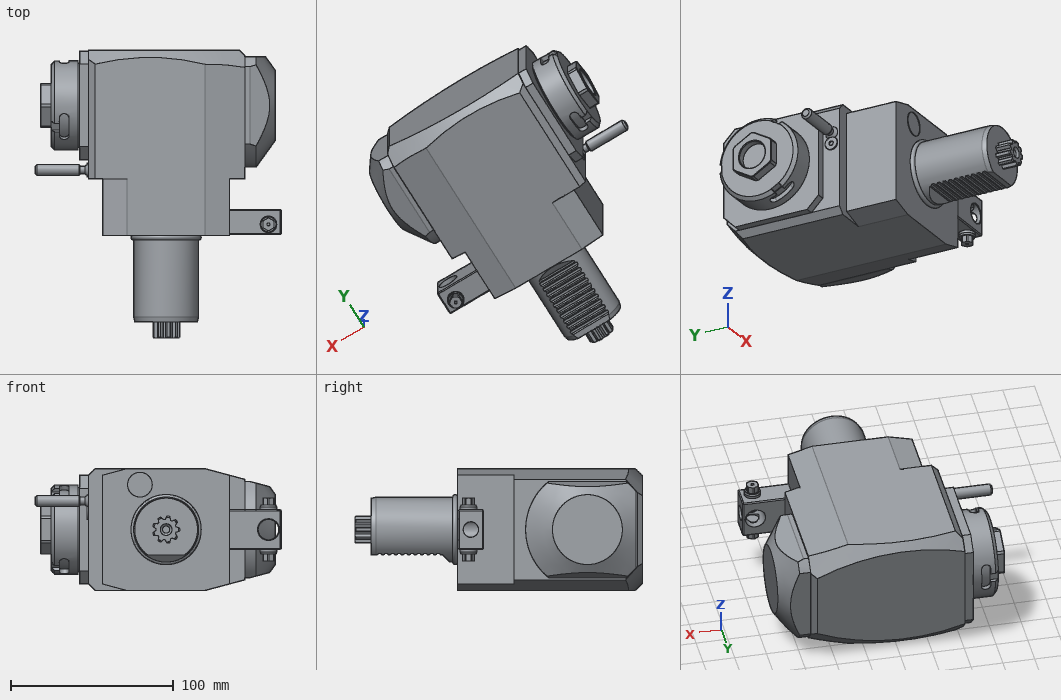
import cadquery as cq
import math


HALF_HEIGHT = 37.5
SLOPE_ANGLE = 15.0
SLOPE_START_X = 23.9
FRONT_HALF_WIDTH = 39.0
STEP_Y = 34.8
BACK_Y = 114.0
LEFT_X = -47.8
RIGHT_X = 48.4
LEFT_BEVEL = 4.2
RIGHT_BACK_BEVEL = 3.3
CROWN_RADIUS = 130.3
CROWN_CENTER_X = -10.0
CROWN_HALF_HEIGHT = 33.0

SPINDLE_Y = 80.0
FLANGE_SIZE = 66.8
FLANGE_CORNER = 8.0
FLANGE_LEFT_X = -53.2
NUT_RADIUS = 27.5
NUT_LEFT_X = -70.7
NUT_BEVEL = 2.2
NECK_RADIUS = 26.0
NECK_LENGTH = 0.9
NUT_POCKET_COUNT = 3
NUT_SLOT_X = -62.65
NUT_SLOT_WIDTH = 5.8
NUT_SLOT_LENGTH = 18.4
NUT_SLOT_FLOOR_RADIUS = 24.5
NUT_NOTCH_WIDTH = 6.0
NUT_NOTCH_FLOOR_RADIUS = 25.0
HEX_LEFT_X = -77.2
HEX_FLAT_WIDTH = 27.0
HEX_ROUND_RADIUS = 15.1
HEX_BEVEL = 0.4
BORE_RADIUS = 9.0
BORE_RIM_BEVEL = 0.5
BORE_DEPTH = 5.0

PIN_Y = 40.3
PIN_Z = 17.6
PIN_RADIUS = 3.5
PIN_LEFT_X = -80.5
PIN_RIGHT_X = -52.8
PIN_BEVEL = 1.2
PIN_RIGHT_BEVEL = 0.8
PIN_NECK_RADIUS = 2.4
PIN_NECK_RIGHT_X = -49.9
FLARE_RADIUS = 4.2
PLUG_Z = 10.4
PLUG_RADIUS = 4.2
PLUG_HEIGHT = 0.9
PLUG_HOLE_RADIUS = 1.5

CAP_RADIUS = 38.0
CAP_RIM_X = 55.3
CAP_RIGHT_X = 67.2
CAP_END_RADIUS = 21.5
CAP_BACK_Y = 110.0
CAP_HALF_HEIGHT = 29.65
CAP_SLOPE_START_X = 51.5

ARM_RIGHT_X = 70.83
ARM_FRONT_Y = 0.6
ARM_BACK_Y = 16.1
ARM_HALF_HEIGHT = 12.25
ARM_BEVEL = 0.7
ARM_HOLE_X = 62.9
ARM_HOLE_RADIUS = 6.3
ARM_HOLE_RIM_BEVEL = 0.4
ARM_WINDOW_RADIUS = 4.7
SCREW_Y = 6.9
SCREW_BORE_RADIUS = 4.2
SCREW_BORE_HALF_LENGTH = 6.7
SCREW_COLLAR_RADIUS = 5.1
SCREW_COLLAR_TOP_RADIUS = 4.6
SCREW_COLLAR_STEP_Z = 13.9
SCREW_COLLAR_TOP_Z = 15.0
SCREW_HEAD_TOP_Z = 19.4
SCREW_HEAD_FLAT_WIDTH = 7.0
SCREW_HEAD_ROUND_RADIUS = 3.8
SCREW_HOLE_RADIUS = 0.9
SCREW_HOLE_DEPTH = 2.0

SHANK_RADIUS = 20.0
SHANK_END_Y = -53.0
SHANK_BEVEL_LENGTH = 3.0
SHANK_BEVEL_DEPTH = 0.7
COLLAR_RADIUS = 21.6
COLLAR_CREST_Y = -1.2
FLAT_Z = -15.6
FLAT_START_Y = -9.0
TOOTH_PITCH = 4.0
GROOVE_COUNT = 10
FIRST_GROOVE_Y = -11.7
GROOVE_DEPTH = 0.8
GROOVE_FLOOR_WIDTH = 1.5
SPLINE_END_Y = -63.0
SPLINE_COUNT = 9
SPLINE_RADIUS = 8.4
SPLINE_ROOT_RADIUS = 6.3
SPLINE_TIP_WIDTH = 1.8
SPLINE_BASE_WIDTH = 3.2
SPLINE_BEVEL = 0.8
CENTER_HOLE_RADIUS = 2.2
CENTER_SINK_RADIUS = 3.6
CENTER_HOLE_DEPTH = 8.0

RECESS_X = -16.1
RECESS_Z = 27.6
RECESS_RADIUS = 7.6
RECESS_DEPTH = 0.5

SLOPE = math.tan(math.radians(SLOPE_ANGLE))
OVERLAP = 1.0


def half_height_at(x):
    """Half the housing height at a distance x from the shank axis, on the sloped stretch."""
    return HALF_HEIGHT - (abs(x) - SLOPE_START_X) * SLOPE


def prism_y(points, y_start, y_end):
    """Prism along Y over an (X, Z) outline."""
    return cq.Workplane("XZ", origin=(0, y_start, 0)).polyline(points).close().extrude(y_start - y_end)


def prism_z(points, half_height):
    """Prism along Z over an (X, Y) outline, symmetric about Z = 0."""
    return cq.Workplane("XY").polyline(points).close().extrude(half_height, both=True)


def mirrored_outline(upper):
    """Closed (X, Z) outline from its upper half, mirrored about Z = 0."""
    return upper + [(x, -z) for x, z in reversed(upper)]


def turned_x(profile, y, z):
    """Solid turned about the X-parallel axis at (y, z) from (X, radius) points."""
    outline = [(profile[0][0], 0)] + profile + [(profile[-1][0], 0)]
    solid = cq.Workplane("XY").polyline(outline).close().revolve(360, (0, 0, 0), (1, 0, 0))
    return solid.translate((0, y, z))


def turned_y(profile, x, z):
    """Solid turned about the Y-parallel axis at (x, z) from (radius, Y) points."""
    outline = [(0, profile[0][1])] + profile + [(0, profile[-1][1])]
    solid = cq.Workplane("XY").polyline(outline).close().revolve(360, (0, 0, 0), (0, 1, 0))
    return solid.translate((x, 0, z))


def turned_z(profile, x, y):
    """Solid turned about the Z-parallel axis at (x, y) from (radius, Z) points."""
    outline = [(0, profile[0][1])] + profile + [(0, profile[-1][1])]
    solid = cq.Workplane("XZ").polyline(outline).close().revolve(360, (0, 0, 0), (0, 1, 0))
    return solid.translate((x, y, 0))


def crown(side):
    """Wide 45-degree cone about a Y-parallel axis that crowns the top (+1) or bottom (-1) back edge."""
    growth = BACK_Y - STEP_Y + OVERLAP
    profile = [(CROWN_RADIUS, BACK_Y), (CROWN_RADIUS + growth, BACK_Y - growth)]
    return turned_y(profile, CROWN_CENTER_X, side * (CROWN_HALF_HEIGHT - CROWN_RADIUS))


def housing():
    rear_outline = mirrored_outline([
        (LEFT_X, HALF_HEIGHT - LEFT_BEVEL),
        (LEFT_X + LEFT_BEVEL, HALF_HEIGHT),
        (SLOPE_START_X, HALF_HEIGHT),
        (RIGHT_X, half_height_at(RIGHT_X)),
    ])
    front_outline = mirrored_outline([
        (-FRONT_HALF_WIDTH, half_height_at(FRONT_HALF_WIDTH)),
        (-SLOPE_START_X, HALF_HEIGHT),
        (SLOPE_START_X, HALF_HEIGHT),
        (FRONT_HALF_WIDTH, half_height_at(FRONT_HALF_WIDTH)),
    ])
    rear = prism_y(rear_outline, STEP_Y, BACK_Y).intersect(crown(1)).intersect(crown(-1))
    corner = prism_z([
        (RIGHT_X - RIGHT_BACK_BEVEL, BACK_Y),
        (RIGHT_X, BACK_Y),
        (RIGHT_X, BACK_Y - RIGHT_BACK_BEVEL),
    ], HALF_HEIGHT)
    recess = turned_y([(RECESS_RADIUS, 0), (RECESS_RADIUS, RECESS_DEPTH)], RECESS_X, RECESS_Z)
    return rear.cut(corner).union(prism_y(front_outline, 0, STEP_Y)).cut(recess)


def flange():
    plate = cq.Workplane("YZ", origin=(FLANGE_LEFT_X, SPINDLE_Y, 0))
    plate = plate.rect(FLANGE_SIZE, FLANGE_SIZE).extrude(LEFT_X - FLANGE_LEFT_X)
    return plate.edges("|X").chamfer(FLANGE_CORNER)


def nut_pocket(angle):
    """Curved wrench slot in the nut rim with a notch leading to it from the end face."""
    radial_plane = cq.Workplane("XY", origin=(NUT_SLOT_X, SPINDLE_Y, 0))
    slot = radial_plane.slot2D(NUT_SLOT_LENGTH, NUT_SLOT_WIDTH, 90).extrude(NUT_RADIUS + OVERLAP)
    core = turned_x([
        (NUT_LEFT_X, NUT_SLOT_FLOOR_RADIUS),
        (FLANGE_LEFT_X, NUT_SLOT_FLOOR_RADIUS),
    ], SPINDLE_Y, 0)
    notch_overlap = NUT_SLOT_WIDTH / 4
    notch = cq.Workplane("XY").box(
        NUT_SLOT_X - notch_overlap - NUT_LEFT_X,
        NUT_NOTCH_WIDTH,
        NUT_RADIUS - NUT_NOTCH_FLOOR_RADIUS,
        centered=(False, True, False),
    ).translate((NUT_LEFT_X, SPINDLE_Y, NUT_NOTCH_FLOOR_RADIUS))
    pocket = slot.cut(core).union(notch)
    return pocket.rotate((0, SPINDLE_Y, 0), (1, SPINDLE_Y, 0), angle)


def hex_prism(plane, origin, flat_width, round_radius, length):
    """Hexagonal prism, one corner along the plane's second axis, corners rounded by a coaxial cylinder."""
    corner_diameter = flat_width / math.cos(math.pi / 6)
    base = cq.Workplane(plane, origin=origin)
    hexagon = base.transformed(rotate=(0, 0, 90)).polygon(6, corner_diameter).extrude(length)
    return hexagon.intersect(base.circle(round_radius).extrude(length))


def nut():
    body = turned_x([
        (NUT_LEFT_X, NUT_RADIUS - NUT_BEVEL),
        (NUT_LEFT_X + NUT_BEVEL, NUT_RADIUS),
        (FLANGE_LEFT_X - NECK_LENGTH, NUT_RADIUS),
        (FLANGE_LEFT_X - NECK_LENGTH, NECK_RADIUS),
        (FLANGE_LEFT_X + OVERLAP, NECK_RADIUS),
    ], SPINDLE_Y, 0)
    for index in range(NUT_POCKET_COUNT):
        body = body.cut(nut_pocket(index * 360 / NUT_POCKET_COUNT - 90))
    hexagon = hex_prism(
        "YZ", (HEX_LEFT_X, SPINDLE_Y, 0), HEX_FLAT_WIDTH, HEX_ROUND_RADIUS,
        NUT_LEFT_X - HEX_LEFT_X + OVERLAP,
    ).faces("<X").chamfer(HEX_BEVEL)
    bore = turned_x([
        (HEX_LEFT_X, BORE_RADIUS + BORE_RIM_BEVEL),
        (HEX_LEFT_X + BORE_RIM_BEVEL, BORE_RADIUS),
        (HEX_LEFT_X + BORE_DEPTH, BORE_RADIUS),
    ], SPINDLE_Y, 0)
    return body.union(hexagon).cut(bore)


def pin():
    stem = turned_x([
        (PIN_LEFT_X, PIN_RADIUS - PIN_BEVEL),
        (PIN_LEFT_X + PIN_BEVEL, PIN_RADIUS),
        (PIN_RIGHT_X - PIN_RIGHT_BEVEL, PIN_RADIUS),
        (PIN_RIGHT_X, PIN_RADIUS - PIN_RIGHT_BEVEL),
        (PIN_RIGHT_X, PIN_NECK_RADIUS),
        (LEFT_X, PIN_NECK_RADIUS),
    ], PIN_Y, PIN_Z)
    flare = turned_x([
        (PIN_NECK_RIGHT_X, PIN_NECK_RADIUS),
        (LEFT_X, FLARE_RADIUS),
        (LEFT_X + OVERLAP, FLARE_RADIUS),
    ], PIN_Y, PIN_Z)
    return stem.union(flare)


def plug():
    disc = turned_x([(LEFT_X - PLUG_HEIGHT, PLUG_RADIUS), (LEFT_X + OVERLAP, PLUG_RADIUS)], PIN_Y, PLUG_Z)
    hole = turned_x([(LEFT_X - PLUG_HEIGHT, PLUG_HOLE_RADIUS), (LEFT_X, PLUG_HOLE_RADIUS)], PIN_Y, PLUG_Z)
    return disc.cut(hole)


def rear_cap():
    body = turned_x([
        (RIGHT_X - OVERLAP, CAP_RADIUS),
        (CAP_RIM_X, CAP_RADIUS),
        (CAP_RIGHT_X, CAP_END_RADIUS),
    ], SPINDLE_Y, 0)
    end_half_height = CAP_HALF_HEIGHT - (CAP_RIGHT_X - CAP_SLOPE_START_X) * SLOPE
    envelope = prism_y(mirrored_outline([
        (RIGHT_X - OVERLAP, CAP_HALF_HEIGHT),
        (CAP_SLOPE_START_X, CAP_HALF_HEIGHT),
        (CAP_RIGHT_X, end_half_height),
    ]), SPINDLE_Y - CAP_RADIUS, CAP_BACK_Y)
    return body.intersect(envelope)


def arm_screw():
    """Upper screw of the arm: round collar, tapered step and hexagonal head with a centre hole."""
    collar = turned_z([
        (SCREW_COLLAR_RADIUS, ARM_HALF_HEIGHT - OVERLAP),
        (SCREW_COLLAR_RADIUS, SCREW_COLLAR_STEP_Z),
        (SCREW_COLLAR_TOP_RADIUS, SCREW_COLLAR_TOP_Z),
    ], ARM_HOLE_X, SCREW_Y)
    head = hex_prism(
        "XY", (ARM_HOLE_X, SCREW_Y, SCREW_COLLAR_TOP_Z), SCREW_HEAD_FLAT_WIDTH,
        SCREW_HEAD_ROUND_RADIUS, SCREW_HEAD_TOP_Z - SCREW_COLLAR_TOP_Z,
    )
    hole = turned_z([
        (SCREW_HOLE_RADIUS, SCREW_HEAD_TOP_Z - SCREW_HOLE_DEPTH),
        (SCREW_HOLE_RADIUS, SCREW_HEAD_TOP_Z),
    ], ARM_HOLE_X, SCREW_Y)
    return collar.union(head).cut(hole)


def clamping_arm():
    bar = cq.Workplane("XY").box(
        ARM_RIGHT_X - FRONT_HALF_WIDTH,
        ARM_BACK_Y - ARM_FRONT_Y,
        2 * ARM_HALF_HEIGHT,
        centered=(False, False, True),
    ).translate((FRONT_HALF_WIDTH, ARM_FRONT_Y, 0))
    bar = bar.faces(">X").edges().chamfer(ARM_BEVEL).edges("|X").chamfer(ARM_BEVEL)
    clamp_hole = turned_y([
        (ARM_HOLE_RADIUS + ARM_HOLE_RIM_BEVEL, ARM_FRONT_Y),
        (ARM_HOLE_RADIUS, ARM_FRONT_Y + ARM_HOLE_RIM_BEVEL),
        (ARM_HOLE_RADIUS, ARM_BACK_Y),
    ], ARM_HOLE_X, 0)
    screw_bore = turned_z([
        (SCREW_BORE_RADIUS, -SCREW_BORE_HALF_LENGTH),
        (SCREW_BORE_RADIUS, SCREW_BORE_HALF_LENGTH),
    ], ARM_HOLE_X, SCREW_Y)
    window = turned_x([
        (ARM_HOLE_X, ARM_WINDOW_RADIUS),
        (ARM_RIGHT_X, ARM_WINDOW_RADIUS),
    ], (ARM_FRONT_Y + ARM_BACK_Y) / 2, 0)
    screw = arm_screw()
    return bar.cut(clamp_hole).cut(window).cut(screw_bore).union(screw).union(screw.mirror("XY"))


def rounded_collar():
    """Ring of circular section, centred on the shank surface, that runs up to the housing face."""
    section_radius = COLLAR_RADIUS - SHANK_RADIUS
    face_radius = SHANK_RADIUS + math.sqrt(section_radius ** 2 - COLLAR_CREST_Y ** 2)
    section = cq.Workplane("XY").moveTo(0, 0).lineTo(face_radius, 0).threePointArc(
        (COLLAR_RADIUS, COLLAR_CREST_Y),
        (SHANK_RADIUS, COLLAR_CREST_Y - section_radius),
    )
    section = section.lineTo(0, COLLAR_CREST_Y - section_radius).close()
    return section.revolve(360, (0, 0, 0), (0, 1, 0))


def shank():
    body = turned_y([
        (SHANK_RADIUS, OVERLAP),
        (SHANK_RADIUS, SHANK_END_Y + SHANK_BEVEL_LENGTH),
        (SHANK_RADIUS - SHANK_BEVEL_DEPTH, SHANK_END_Y),
    ], 0, 0).union(rounded_collar())
    flat_depth = COLLAR_RADIUS + FLAT_Z
    flat = cq.Workplane("YZ").polyline([
        (SHANK_END_Y, FLAT_Z),
        (FLAT_START_Y, FLAT_Z),
        (FLAT_START_Y + flat_depth, FLAT_Z - flat_depth),
        (SHANK_END_Y, FLAT_Z - flat_depth),
    ]).close().extrude(COLLAR_RADIUS, both=True)
    body = body.cut(flat)
    for index in range(GROOVE_COUNT):
        body = body.cut(clamping_groove(FIRST_GROOVE_Y - index * TOOTH_PITCH))
    return body


def clamping_groove(y):
    """Trapezoidal groove with 45-degree flanks across the flat of the shank."""
    floor = GROOVE_FLOOR_WIDTH / 2
    rim = floor + GROOVE_DEPTH
    return cq.Workplane("YZ").polyline([
        (y - floor, FLAT_Z + GROOVE_DEPTH),
        (y + floor, FLAT_Z + GROOVE_DEPTH),
        (y + rim, FLAT_Z),
        (y - rim, FLAT_Z),
    ]).close().extrude(SHANK_RADIUS, both=True)


def splined_drive():
    start_y = SHANK_END_Y + OVERLAP
    drive = turned_y([(SPLINE_ROOT_RADIUS, start_y), (SPLINE_ROOT_RADIUS, SPLINE_END_Y)], 0, 0)
    tooth = prism_y([
        (0, SPLINE_BASE_WIDTH / 2),
        (SPLINE_ROOT_RADIUS, SPLINE_BASE_WIDTH / 2),
        (SPLINE_RADIUS, SPLINE_TIP_WIDTH / 2),
        (SPLINE_RADIUS, -SPLINE_TIP_WIDTH / 2),
        (SPLINE_ROOT_RADIUS, -SPLINE_BASE_WIDTH / 2),
        (0, -SPLINE_BASE_WIDTH / 2),
    ], start_y, SPLINE_END_Y)
    for index in range(SPLINE_COUNT):
        drive = drive.union(tooth.rotate((0, 0, 0), (0, 1, 0), index * 360 / SPLINE_COUNT))
    envelope = turned_y([
        (SPLINE_RADIUS, start_y),
        (SPLINE_RADIUS, SPLINE_END_Y + SPLINE_BEVEL),
        (SPLINE_RADIUS - SPLINE_BEVEL, SPLINE_END_Y),
    ], 0, 0)
    sink_depth = CENTER_SINK_RADIUS - CENTER_HOLE_RADIUS
    center_hole = turned_y([
        (CENTER_SINK_RADIUS, SPLINE_END_Y),
        (CENTER_HOLE_RADIUS, SPLINE_END_Y + sink_depth),
        (CENTER_HOLE_RADIUS, SPLINE_END_Y + CENTER_HOLE_DEPTH),
    ], 0, 0)
    return drive.intersect(envelope).cut(center_hole)


result = housing()
for feature in (flange(), nut(), pin(), plug(), rear_cap(), clamping_arm(), shank(), splined_drive()):
    result = result.union(feature)